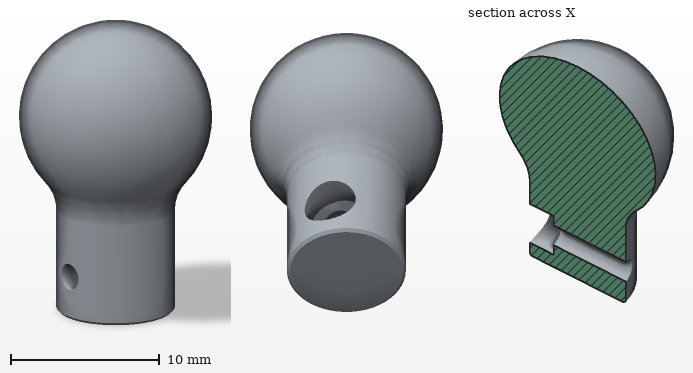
import cadquery as cq
import math

total_height = 20.0
ball_diameter = 13.0
shank_diameter = 8.0
neck_fillet_radius = 3.0
base_chamfer = 0.2
pin_hole_diameter = 1.8
pin_hole_height = 3.0
counterbore_diameter = 3.6
counterbore_depth = 2.0

ball_radius = ball_diameter / 2
shank_radius = shank_diameter / 2
ball_center_z = total_height - ball_radius

fillet_center_r = shank_radius + neck_fillet_radius
center_distance = ball_radius + neck_fillet_radius
fillet_center_z = ball_center_z - math.sqrt(center_distance**2 - fillet_center_r**2)


def point_on_fillet(angle):
    """Profile point on the neck fillet, at an angle measured from +radius towards +Z."""
    return (
        fillet_center_r + neck_fillet_radius * math.cos(angle),
        fillet_center_z + neck_fillet_radius * math.sin(angle),
    )


def make_body():
    """Revolve the ball, neck and shank profile about the Z axis."""
    ball_side_angle = math.atan2(ball_center_z - fillet_center_z, -fillet_center_r)
    shank_side_angle = math.pi
    middle_angle = (ball_side_angle + shank_side_angle) / 2
    profile = (
        cq.Workplane("XZ")
        .moveTo(0, 0)
        .lineTo(shank_radius - base_chamfer, 0)
        .lineTo(shank_radius, base_chamfer)
        .lineTo(shank_radius, fillet_center_z)
        .threePointArc(point_on_fillet(middle_angle), point_on_fillet(ball_side_angle))
        .threePointArc((ball_radius, ball_center_z), (0, total_height))
        .close()
    )
    return profile.revolve(360, (0, 0, 0), (0, 1, 0))


def make_pin_hole():
    """Through hole along Y, counterbored on the +Y side of the shank."""
    outer_face = cq.Workplane("XZ", origin=(0, shank_radius, pin_hole_height))
    hole = outer_face.circle(pin_hole_diameter / 2).extrude(shank_diameter)
    counterbore = outer_face.circle(counterbore_diameter / 2).extrude(counterbore_depth)
    return hole.union(counterbore)


result = make_body().cut(make_pin_hole())